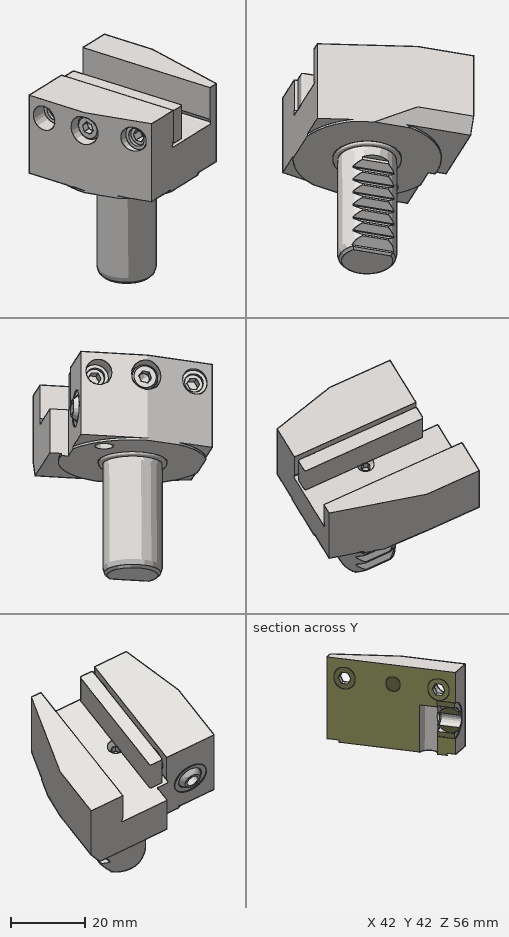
import cadquery as cq
import math


head_left = -23.0
head_right = 19.0
head_front = -20.0
head_back = 22.0
head_top = 24.0
step_x = -18.0
step_y = -2.0
taper_y = 15.0
taper_angle = 15.0
back_bevel_width = 3.0
back_bevel_height = 5.1
pad_radius = 20.0
pad_height = 0.6

channel_front = -5.0
channel_back = 12.0
channel_floor = 13.0
undercut_depth = 0.4
undercut_height = 1.5
undercut_radius = 0.5

shank_radius = 8.0
shank_length = 32.0
neck_radius = 7.9
neck_end = 1.9
lead_start = 29.9
lead_end = 31.25
lead_radius = 7.6
shank_end_radius = 6.9

tooth_count = 6
tooth_pitch = 4.0
first_root_depth = 6.7
tooth_tip_y = 7.1
tooth_root_y = 5.5
root_flat = 0.3
rack_entry_start = 3.5
rack_entry_end = 4.15
rack_end_y = 5.05
end_chamfer = 0.6

seal_outer_radius = 9.25
seal_section_radius = (seal_outer_radius - neck_radius) / 2
seal_drop = 1.0
seal_center_radius = seal_outer_radius - seal_section_radius
seal_center_z = seal_section_radius - seal_drop

bar_length = 36.0
bar_thickness = 4.0
bar_height = 9.8
bar_corner_radius = 0.5
bar_center_x = 0.45
bar_bottom = 13.6
bar_front = -bar_thickness
screw_z = bar_bottom + bar_height / 2

clamp_spacing = 27.0
clamp_xs = [bar_center_x - clamp_spacing / 2, bar_center_x + clamp_spacing / 2]
clamp_diameter = 6.0
clamp_end_y = -14.0
clamp_mouth_diameter = 5.1
clamp_counterbore_diameter = 7.05
clamp_counterbore_y = -15.0
clamp_hex = 3.0
clamp_hex_depth = 3.0
clamp_tip_flat_radius = 2.1

cap_counterbore_diameter = 8.2
cap_head_diameter = 7.0
cap_head_chamfer = 0.45
cap_head_height = 4.0
cap_head_y = head_front + 2.0
cap_seat_y = cap_head_y + cap_head_height
cap_shank_diameter = 4.0
cap_tip_y = -1.0
cap_hex = 3.0
cap_hex_depth = 2.0
cap_hex_turn = -10.0

socket_point_angle = 30.0

plug_diameter = 4.6
plug_length = 6.0
plug_hex = 2.2
plug_hex_depth = 2.0
plug_hex_turn = 30.0
plug_dish_depth = 1.4

nozzle_y = -12.55
nozzle_z = 10.2
nozzle_ring_diameter = 10.0
nozzle_ring_length = 5.0
nozzle_ring_recess = 0.3
nozzle_ring_face = step_x + nozzle_ring_recess
nozzle_pocket_end = nozzle_ring_face + nozzle_ring_length
ball_radius = 3.6
ball_flat_radius = 2.35
ball_protrusion = 1.0
ball_hole_diameter = 3.4
ball_flat_x = step_x - ball_protrusion
ball_center_x = ball_flat_x + math.sqrt(ball_radius**2 - ball_flat_radius**2)
coolant_bore_diameter = 5.0
coolant_bore_x = nozzle_pocket_end + coolant_bore_diameter / 2
coolant_bore_top = 13.45


def cylinder_y(diameter, x, z, y_start, y_end):
    """Cylinder along +Y."""
    length = y_end - y_start
    start = cq.Vector(x, y_start, z)
    return cq.Workplane(cq.Solid.makeCylinder(diameter / 2, length, start, cq.Vector(0, 1, 0)))


def cylinder_x(diameter, x_start, x_end):
    """Cylinder along +X on the nozzle axis."""
    length = x_end - x_start
    start = cq.Vector(x_start, nozzle_y, nozzle_z)
    return cq.Workplane(cq.Solid.makeCylinder(diameter / 2, length, start, cq.Vector(1, 0, 0)))


def hex_socket(across_flats, depth):
    """Flat-bottomed hexagonal socket going down from the origin, corners on X."""
    corner_radius = across_flats / math.sqrt(3)
    return cq.Workplane("XY").polygon(6, 2 * corner_radius).extrude(-depth)


def pointed_hex_socket(across_flats, depth):
    """Hexagonal socket that ends in a drill point."""
    point_depth = across_flats / 2 * math.tan(math.radians(socket_point_angle))
    point = cq.Solid.makeCone(
        across_flats / 2, 0, point_depth, cq.Vector(0, 0, -depth), cq.Vector(0, 0, -1)
    )
    return hex_socket(across_flats, depth).union(cq.Workplane(point))


def face_front(socket, x, y):
    """Turn a socket to go in +Y from a screw end."""
    return socket.rotate((0, 0, 0), (1, 0, 0), 90).translate((x, y, screw_z))


def make_head_block():
    slope = math.tan(math.radians(taper_angle))
    front_taper_x = head_right - (-taper_y - head_front) / slope
    back_taper_x = head_right - (head_back - taper_y) / slope
    outline = [
        (step_x, head_front),
        (front_taper_x, head_front),
        (head_right, -taper_y),
        (head_right, taper_y),
        (back_taper_x, head_back),
        (head_left, head_back),
        (head_left, step_y),
        (step_x, step_y),
    ]
    block = cq.Workplane("XY").polyline(outline).close().extrude(head_top)

    bevel = (
        cq.Workplane("YZ", origin=(head_left, 0, 0))
        .moveTo(head_back - back_bevel_width, 0)
        .lineTo(head_back, 0)
        .lineTo(head_back, back_bevel_height)
        .close()
        .extrude(head_right - head_left)
    )
    head_reach = math.hypot(head_left, head_back)
    upper = cq.Workplane("XY", origin=(0, 0, pad_height)).circle(head_reach).extrude(head_top)
    pad = cq.Workplane("XY").circle(pad_radius).extrude(head_top)
    return block.intersect(upper.union(pad)).cut(bevel)


def make_channel():
    """Channel along X with an undercut at the foot of both walls."""
    front_foot = channel_front - undercut_depth
    back_foot = channel_back + undercut_depth
    undercut_top = channel_floor + undercut_height
    arc_top = channel_floor + undercut_radius
    return (
        cq.Workplane("YZ", origin=(head_left, 0, 0))
        .moveTo(channel_front, head_top)
        .lineTo(channel_front, undercut_top)
        .lineTo(front_foot, arc_top)
        .radiusArc((front_foot + undercut_radius, channel_floor), -undercut_radius)
        .lineTo(back_foot - undercut_radius, channel_floor)
        .radiusArc((back_foot, arc_top), -undercut_radius)
        .lineTo(channel_back, undercut_top)
        .lineTo(channel_back, head_top)
        .close()
        .extrude(head_right - head_left)
    )


def make_rack_cut():
    """Space cleared behind the rack teeth, through the whole shank width."""
    clear_y = 2 * shank_radius
    rise = tooth_tip_y - tooth_root_y
    points = [
        (clear_y, -rack_entry_start),
        (shank_radius, -rack_entry_start),
        (tooth_tip_y, -rack_entry_end),
    ]
    for i in range(tooth_count):
        root_z = -first_root_depth - i * tooth_pitch
        points += [
            (tooth_tip_y, root_z + root_flat / 2 + rise),
            (tooth_root_y, root_z + root_flat / 2),
            (tooth_root_y, root_z - root_flat / 2),
            (tooth_tip_y, root_z - root_flat / 2 - rise),
        ]
    last_tip_z = -first_root_depth - (tooth_count - 0.5) * tooth_pitch
    tip_half_flat = (tooth_pitch - root_flat) / 2 - rise
    points += [
        (tooth_tip_y, last_tip_z - tip_half_flat),
        (rack_end_y, last_tip_z - tip_half_flat - tooth_tip_y + rack_end_y),
        (rack_end_y, -shank_length + end_chamfer),
        (rack_end_y - end_chamfer, -shank_length),
        (clear_y, -shank_length),
    ]
    cut = cq.Workplane("YZ").polyline(points).close()
    return cut.extrude(shank_radius, both=True)


def make_shank():
    shank = (
        cq.Workplane("XZ")
        .moveTo(0, pad_height)
        .lineTo(neck_radius, pad_height)
        .lineTo(neck_radius, -seal_drop)
        .lineTo(shank_radius, -neck_end)
        .lineTo(shank_radius, -lead_start)
        .lineTo(lead_radius, -lead_end)
        .lineTo(shank_end_radius, -shank_length)
        .lineTo(0, -shank_length)
        .close()
        .revolve(360, (0, 0, 0), (0, 1, 0))
    )
    return shank.cut(make_rack_cut())


def make_housing():
    housing = make_head_block().union(make_shank()).cut(make_channel())

    seal_groove = (
        cq.Workplane("XY")
        .circle(seal_outer_radius)
        .circle(neck_radius)
        .extrude(seal_center_z + seal_section_radius)
    )
    housing = housing.cut(seal_groove)

    for x in clamp_xs:
        housing = housing.cut(
            cylinder_y(clamp_counterbore_diameter, x, screw_z, head_front, clamp_counterbore_y)
        )
        housing = housing.cut(
            cylinder_y(clamp_mouth_diameter, x, screw_z, clamp_counterbore_y, clamp_end_y)
        )
        housing = housing.cut(cylinder_y(clamp_diameter, x, screw_z, clamp_end_y, channel_front))

    housing = housing.cut(
        cylinder_y(cap_counterbore_diameter, 0, screw_z, head_front, cap_seat_y)
    )
    housing = housing.cut(cylinder_y(cap_shank_diameter, 0, screw_z, cap_seat_y, channel_front))

    plug_hole = (
        cq.Workplane("XY", origin=(0, 0, channel_floor))
        .circle(plug_diameter / 2)
        .extrude(-plug_length)
    )
    housing = housing.cut(plug_hole)

    housing = housing.cut(cylinder_x(nozzle_ring_diameter, step_x, nozzle_pocket_end))
    housing = housing.cut(cylinder_x(ball_hole_diameter, nozzle_pocket_end, coolant_bore_x))
    coolant_bore = (
        cq.Workplane("XY")
        .center(coolant_bore_x, nozzle_y)
        .circle(coolant_bore_diameter / 2)
        .extrude(coolant_bore_top)
    )
    return housing.cut(coolant_bore)


def make_seal_ring():
    return (
        cq.Workplane("XZ")
        .center(seal_center_radius, seal_center_z)
        .circle(seal_section_radius)
        .revolve(360, (-seal_center_radius, 0, 0), (-seal_center_radius, 1, 0))
    )


def make_clamp_bar():
    bar = (
        cq.Workplane("XY", origin=(bar_center_x, bar_front / 2, bar_bottom))
        .rect(bar_length, bar_thickness)
        .extrude(bar_height)
        .edges("|Z")
        .fillet(bar_corner_radius)
    )
    return bar.cut(cylinder_y(cap_shank_diameter, 0, screw_z, bar_front, cap_tip_y))


def make_clamp_screw(x):
    """Set screw whose ball tip ends in a flat that presses on the bar."""
    ball = clamp_diameter / 2
    ball_y = bar_front - math.sqrt(ball**2 - clamp_tip_flat_radius**2)
    body = cylinder_y(clamp_diameter, x, screw_z, clamp_end_y, ball_y)
    tip = cq.Workplane("XY", origin=(x, ball_y, screw_z)).sphere(ball)
    keep = cylinder_y(clamp_diameter, x, screw_z, clamp_end_y, bar_front)
    socket = face_front(hex_socket(clamp_hex, clamp_hex_depth), x, clamp_end_y)
    return body.union(tip).intersect(keep).cut(socket)


def make_cap_screw():
    head = cylinder_y(cap_head_diameter, 0, screw_z, cap_head_y, cap_seat_y)
    head = head.faces("<Y").edges().chamfer(cap_head_chamfer)
    shank = cylinder_y(cap_shank_diameter, 0, screw_z, cap_seat_y, cap_tip_y)
    socket = pointed_hex_socket(cap_hex, cap_hex_depth).rotate((0, 0, 0), (0, 0, 1), cap_hex_turn)
    return head.union(shank).cut(face_front(socket, 0, cap_head_y))


def make_floor_plug():
    """Plug with a conical dish that narrows to its hexagonal socket."""
    corner_radius = plug_hex / math.sqrt(3)
    plug = (
        cq.Workplane("XY", origin=(0, 0, channel_floor))
        .circle(plug_diameter / 2)
        .extrude(-plug_length)
    )
    dish = cq.Solid.makeCone(
        plug_diameter / 2,
        corner_radius,
        plug_dish_depth,
        cq.Vector(0, 0, channel_floor),
        cq.Vector(0, 0, -1),
    )
    socket = pointed_hex_socket(plug_hex, plug_hex_depth).rotate((0, 0, 0), (0, 0, 1), plug_hex_turn)
    socket = socket.translate((0, 0, channel_floor - plug_dish_depth))
    return plug.cut(cq.Workplane(dish)).cut(socket)


def make_nozzle_ring():
    ring = cylinder_x(nozzle_ring_diameter, nozzle_ring_face, nozzle_pocket_end)
    return ring.cut(cylinder_x(2 * ball_radius, nozzle_ring_face, nozzle_pocket_end))


def make_nozzle_ball():
    ball_end = ball_center_x + ball_radius
    ball = cq.Workplane("XY", origin=(ball_center_x, nozzle_y, nozzle_z)).sphere(ball_radius)
    ball = ball.intersect(cylinder_x(2 * nozzle_ring_diameter, ball_flat_x, ball_end))
    return ball.cut(cylinder_x(ball_hole_diameter, ball_flat_x, ball_end))


housing = make_housing()
seal_ring = make_seal_ring()
clamp_bar = make_clamp_bar()
clamp_screws = [make_clamp_screw(x) for x in clamp_xs]
cap_screw = make_cap_screw()
floor_plug = make_floor_plug()
nozzle_ring = make_nozzle_ring()
nozzle_ball = make_nozzle_ball()

result = cq.Compound.makeCompound([
    housing.val(),
    seal_ring.val(),
    clamp_bar.val(),
    *[screw.val() for screw in clamp_screws],
    cap_screw.val(),
    floor_plug.val(),
    nozzle_ring.val(),
    nozzle_ball.val(),
])